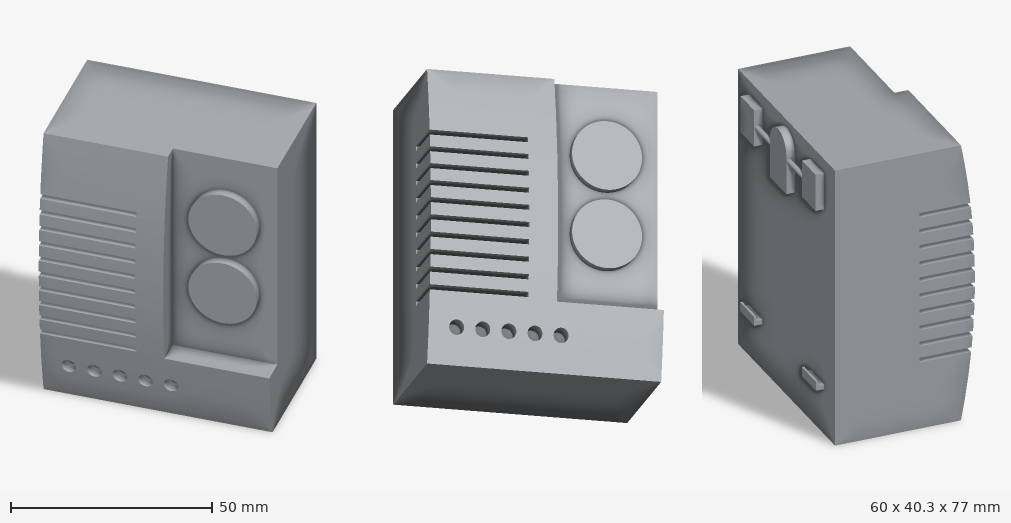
import cadquery as cq

width = 60.0
height = 76.95
depth = 37.95
front_sag = 3.8
left = -width / 2
bottom = -height / 2
top = height / 2

recess_width = 27.4
recess_floor_z = -20.55
recess_floor_y = -30.4
knob_diameter = 17.9
knob_height = 2.5
knob_x = 16.5
knob_z_positions = (20.0, -0.5)

slot_count = 10
slot_row_height = 40.5
slot_pitch = slot_row_height / (slot_count - 1)
slot_height = 1.3
slot_length = 25.25
slot_depth = 15.1
slot_middle_z = 0.9

hole_count = 5
hole_pitch = 6.7
hole_diameter = 3.85
hole_depth = 3.85
first_hole_x = left + 7.15
hole_z = -28.9

mount_thickness = 2.3
post_width = 10.15
post_top = 36.4
post_bottom = 20.55
tab_inner_x = 14.8
tab_outer_x = 23.25
tab_top = 34.55
tab_bottom = 24.5
rod_diameter = 1.5
rod_y = 1.5
rod_z = (tab_top + tab_bottom) / 2
hook_outer_x = 23.55
hook_lip_top = -23.25
hook_base_top = -24.5
hook_bottom = -25.7
hook_lip_thickness = 0.6


def box(x_range, y_range, z_range):
    """Box spanning the given (low, high) ranges."""
    spans = (x_range, y_range, z_range)
    sizes = [high - low for low, high in spans]
    corner = tuple(low for low, high in spans)
    return cq.Workplane("XY").box(*sizes, centered=False).translate(corner)


def cylinder_to_front(x, back_y, z, diameter, length):
    """Cylinder that starts at back_y and runs towards -Y."""
    plane = cq.Workplane("XZ", origin=(x, back_y, z))
    return plane.circle(diameter / 2).extrude(length)


def front_y(z):
    """Y of the curved front at height z."""
    radius = (top**2 + front_sag**2) / (2 * front_sag)
    return -depth + radius - (radius**2 - z**2) ** 0.5


def housing():
    """Block whose front is one shallow arc from bottom to top."""
    edge_y = front_sag - depth
    profile = (
        cq.Workplane("YZ", origin=(left, 0, 0))
        .moveTo(0, bottom)
        .lineTo(edge_y, bottom)
        .threePointArc((-depth, 0), (edge_y, top))
        .lineTo(0, top)
        .close()
    )
    return profile.extrude(width)


def recess():
    right = width / 2
    return box((right - recess_width, right), (-depth, recess_floor_y), (recess_floor_z, top))


def slot(index):
    z = slot_middle_z + (index - (slot_count - 1) / 2) * slot_pitch
    return box(
        (left, left + slot_length),
        (-depth, slot_depth - depth),
        (z - slot_height / 2, z + slot_height / 2),
    )


def indicator_hole(index):
    x = first_hole_x + index * hole_pitch
    floor_y = front_y(hole_z) + hole_depth
    return cylinder_to_front(x, floor_y, hole_z, hole_diameter, depth + floor_y)


def post():
    """Middle post with straight sides, a flat foot and a round head."""
    half = post_width / 2
    shoulder_z = post_top - half
    outline = (
        cq.Workplane("XZ")
        .moveTo(-half, post_bottom)
        .lineTo(half, post_bottom)
        .lineTo(half, shoulder_z)
        .threePointArc((0, post_top), (-half, shoulder_z))
        .close()
    )
    return outline.extrude(-mount_thickness)


def tab():
    """Right-hand tab beside the post."""
    return box((tab_inner_x, tab_outer_x), (0, mount_thickness), (tab_bottom, tab_top))


def rod():
    """Round rod joining both tabs through the post."""
    plane = cq.Workplane("YZ", origin=(-tab_inner_x, rod_y, rod_z))
    return plane.circle(rod_diameter / 2).extrude(2 * tab_inner_x)


def hook():
    """Right-hand L-shaped hook whose lip points up."""
    x_range = (tab_inner_x, hook_outer_x)
    base = box(x_range, (0, mount_thickness), (hook_bottom, hook_base_top))
    lip_y_range = (mount_thickness - hook_lip_thickness, mount_thickness)
    lip = box(x_range, lip_y_range, (hook_bottom, hook_lip_top))
    return base.union(lip)


result = housing().cut(recess())

for slot_index in range(slot_count):
    result = result.cut(slot(slot_index))
for hole_index in range(hole_count):
    result = result.cut(indicator_hole(hole_index))
for knob_z in knob_z_positions:
    result = result.union(cylinder_to_front(knob_x, recess_floor_y, knob_z, knob_diameter, knob_height))

result = result.union(post()).union(rod())
for side_part in (tab(), hook()):
    result = result.union(side_part).union(side_part.mirror("YZ"))